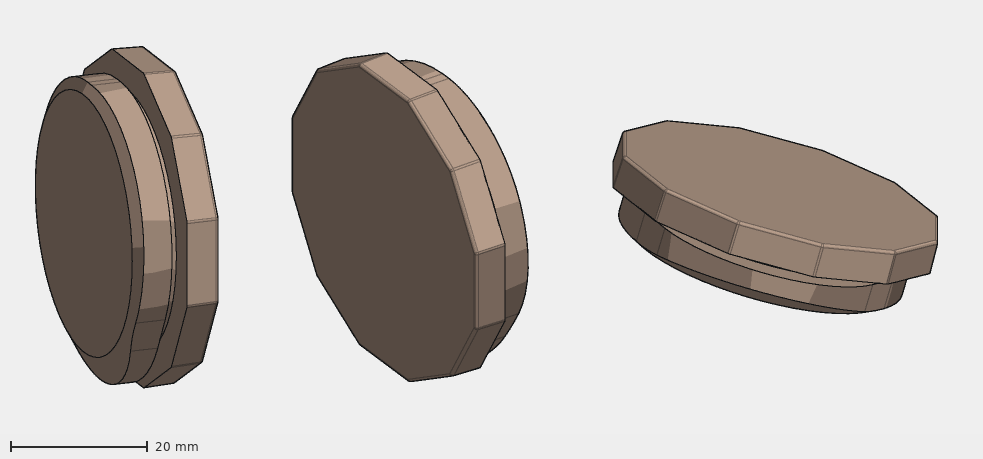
import cadquery as cq
import math

HEAD_SIDES = 12
HEAD_APOTHEM = 24.15
HEAD_THICKNESS = 5.1
HEAD_DRAFT_ANGLE = 2.0
HEAD_CORNER_RADIUS = 0.75
HEAD_BACK_RADIUS = 0.5

NECK_DIAMETER = 39.5
NECK_LENGTH = 1.4

FLANGE_THICKNESS = 5.5
ARC_RADIUS = 20.8
ARC_CENTER_X = 0.8
ARC_CENTER_Z = 0.55
LIP_REACH = 24.25
FLANK_ANGLE = 30.0

END_FACE_DIAMETER = NECK_DIAMETER
BEVEL_ANGLE = 30.0

HEAD_BACK_Y = (HEAD_THICKNESS + NECK_LENGTH + FLANGE_THICKNESS) / 2
HEAD_FRONT_Y = HEAD_BACK_Y - HEAD_THICKNESS
FLANGE_BACK_Y = HEAD_FRONT_Y - NECK_LENGTH
END_FACE_Y = FLANGE_BACK_Y - FLANGE_THICKNESS


def plane_at(y):
    """XZ workplane at the given Y; positive extrusion runs towards -Y."""
    return cq.Workplane("XZ", origin=(0, y, 0))


def make_head():
    corner_diameter = 2 * HEAD_APOTHEM / math.cos(math.pi / HEAD_SIDES)
    half_step = 180 / HEAD_SIDES
    head = (
        plane_at(HEAD_FRONT_Y)
        .transformed(rotate=(0, 0, half_step))
        .polygon(HEAD_SIDES, corner_diameter)
        .extrude(-HEAD_THICKNESS, taper=HEAD_DRAFT_ANGLE)
    )
    side_edges = head.edges("not #Y")
    head = side_edges.fillet(HEAD_CORNER_RADIUS)
    return head.faces(">Y").edges().fillet(HEAD_BACK_RADIUS)


def make_neck():
    return plane_at(HEAD_FRONT_Y).circle(NECK_DIAMETER / 2).extrude(NECK_LENGTH)


def point_on_arc(center_x, center_z, radius, angle):
    """Point at an angle in degrees, measured from +X towards +Z."""
    radians = math.radians(angle)
    return center_x + radius * math.cos(radians), center_z + radius * math.sin(radians)


def mirrored(point):
    return -point[0], point[1]


def flange_outline():
    sine = math.sin(math.radians(FLANK_ANGLE))
    cosine = math.cos(math.radians(FLANK_ANGLE))

    flank_distance = ARC_RADIUS + ARC_CENTER_X * cosine - ARC_CENTER_Z * sine
    lip_center_z = -(LIP_REACH - flank_distance) / (1 - sine)
    lip_radius = LIP_REACH + lip_center_z

    arc_middle_angle = (90 - FLANK_ANGLE) / 2
    top_corner = point_on_arc(ARC_CENTER_X, ARC_CENTER_Z, ARC_RADIUS, 90)
    arc_middle = point_on_arc(ARC_CENTER_X, ARC_CENTER_Z, ARC_RADIUS, arc_middle_angle)
    flank_top = point_on_arc(ARC_CENTER_X, ARC_CENTER_Z, ARC_RADIUS, -FLANK_ANGLE)
    flank_bottom = point_on_arc(0, lip_center_z, lip_radius, -FLANK_ANGLE)

    return (
        plane_at(FLANGE_BACK_Y)
        .moveTo(*mirrored(top_corner))
        .lineTo(*top_corner)
        .threePointArc(arc_middle, flank_top)
        .lineTo(*flank_bottom)
        .threePointArc((0, -LIP_REACH), mirrored(flank_bottom))
        .lineTo(*mirrored(flank_top))
        .threePointArc(mirrored(arc_middle), mirrored(top_corner))
        .close()
    )


def make_bevel_cone():
    """Cone frustum that widens from the end face back to the flange's rear."""
    end_radius = END_FACE_DIAMETER / 2
    back_radius = end_radius + FLANGE_THICKNESS / math.tan(math.radians(BEVEL_ANGLE))
    return (
        cq.Workplane("XY")
        .moveTo(0, END_FACE_Y)
        .lineTo(end_radius, END_FACE_Y)
        .lineTo(back_radius, FLANGE_BACK_Y)
        .lineTo(0, FLANGE_BACK_Y)
        .close()
        .revolve(360, (0, 0, 0), (0, 1, 0))
    )


def make_flange():
    return flange_outline().extrude(FLANGE_THICKNESS).intersect(make_bevel_cone())


result = make_head().union(make_neck()).union(make_flange())